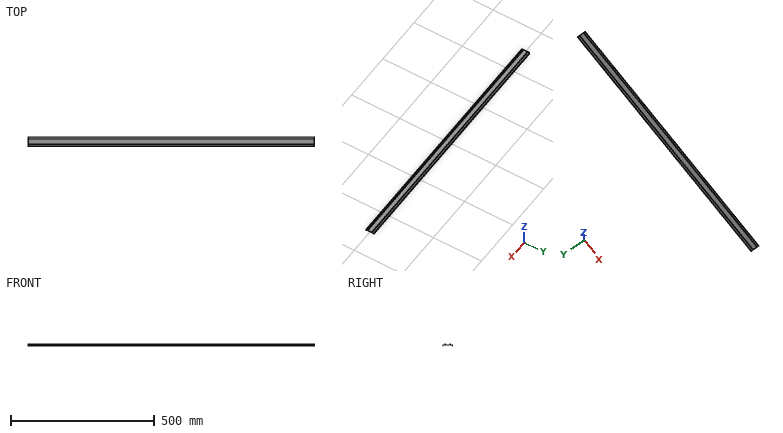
import cadquery as cq

length = 1000.0
width = 33.5
height = 6.05

wall = 0.8
outer_corner_radius = 1.5

rib_height = 1.95
rib_width = 1.4
rib_offset = 8.9

channel_height = height - rib_height


def make_channel():
    """Inverted U with rounded outer corners, centred on X and Y, standing on Z = 0."""
    centered = (True, True, False)
    outside = cq.Workplane("XY").box(length, width, channel_height, centered=centered)
    outside = outside.edges("|X and >Z").fillet(outer_corner_radius)
    inside = cq.Workplane("XY").box(length, width - 2 * wall, channel_height - wall, centered=centered)
    return outside.cut(inside)


def make_rib(y_center):
    """Full-length rib rising from the web, its top rounded over the whole rib width."""
    half_width = rib_width / 2
    root = channel_height - wall / 2
    shoulder = height - half_width
    return (
        cq.Workplane("YZ", origin=(-length / 2, y_center, 0))
        .moveTo(-half_width, root)
        .lineTo(-half_width, shoulder)
        .threePointArc((0, height), (half_width, shoulder))
        .lineTo(half_width, root)
        .close()
        .extrude(length)
    )


result = make_channel()
for side in (-1, 1):
    result = result.union(make_rib(side * rib_offset))